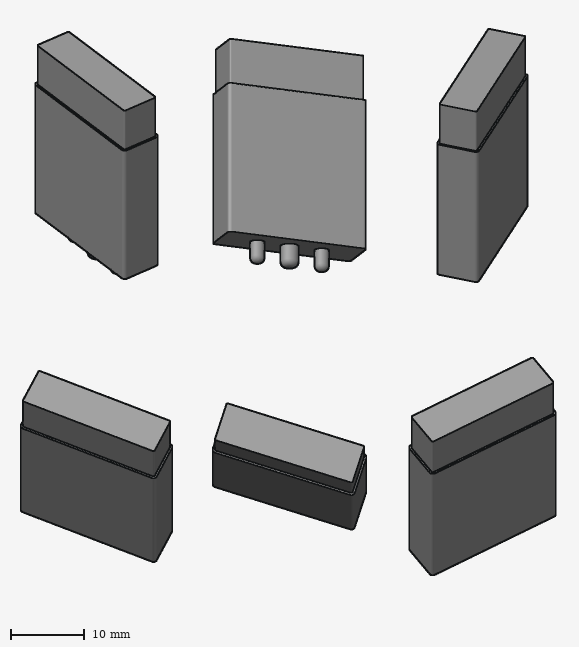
import cadquery as cq

body_width = 20.2
body_depth = 6.0
body_corner_radius = 0.5

total_height = 30.6
top_height = 6.4
ledge = 0.3
top_corner_radius = 0.2

pin_length = 3.0
center_pin_diameter = 2.5
side_pin_diameter = 2.0
side_pin_offset = 4.7
pin_tip_radius = 0.8

body_height = total_height - top_height - pin_length


def rounded_block(width, depth, height, corner_radius):
    """Block standing on Z = 0 with rounded vertical edges."""
    block = cq.Workplane("XY").rect(width, depth).extrude(height)
    return block.edges("|Z").fillet(corner_radius)


def pin(x, diameter):
    """Pin hanging down from Z = 0 with a rounded tip."""
    shaft = cq.Workplane("XY").center(x, 0).circle(diameter / 2).extrude(-pin_length)
    return shaft.faces("<Z").edges().fillet(pin_tip_radius)


body = rounded_block(body_width, body_depth, body_height, body_corner_radius)
top_block = rounded_block(
    body_width - 2 * ledge, body_depth - 2 * ledge, top_height, top_corner_radius
).translate((0, 0, body_height))

result = body.union(top_block).union(pin(0, center_pin_diameter))
for side in (-1, 1):
    result = result.union(pin(side * side_pin_offset, side_pin_diameter))